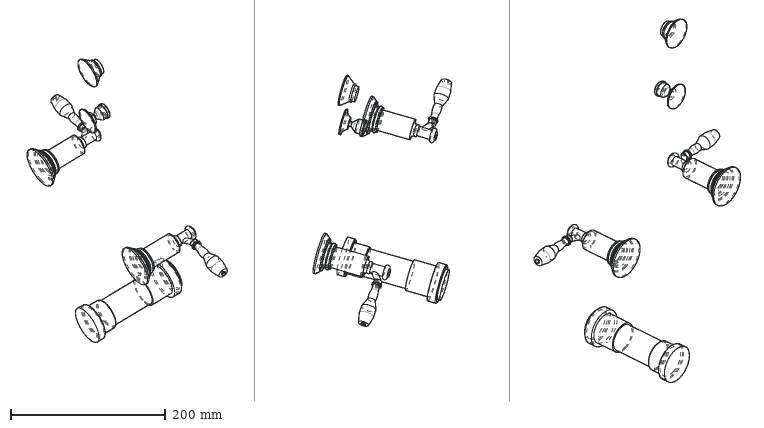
import cadquery as cq


valve_spacing = 203.0
spout_z = -229.0
knob_z = 202.5
escutcheon_z = 304.0

spout_height = 138.5
base_flange_radius = 25.5
top_flange_radius = 26.0
spout_collar_radius = 21.0
spout_shaft_radius = 18.5
base_flange_height = 11.0
base_collar_top = 32.0
top_collar_bottom = 91.5
top_flange_bottom = 123.0
top_flange_top = 135.0
spout_chamfer = 1.0

plate_radius = 27.0
plate_edge_height = 2.5
plate_shoulder_radius = 22.5
plate_shoulder_height = 7.5
plate_top_radius = 21.5
plate_top = 9.0
foot_radius = 17.0
foot_top = 13.0
ring_root_radius = 16.0
ring_radius = 18.0
ring_bottom = 14.0
ring_top = 17.5
collar_top = 19.0
column_radius = 14.0
column_top = 63.0
shoulder_radius = 11.5
shoulder_top = 66.5
neck_root_radius = 7.0
neck_radius = 8.0
neck_top = 70.5
stem_radius = 6.5
cap_radius = 10.0
cap_bottom = 88.0
cap_top = 94.0
button_radius = 5.0
button_top = 95.5

lever_height = 84.5
lever_span = 363.0
lever_reach = (lever_span - valve_spacing) / 2
socket_start = 14.5
socket_radius = 5.0
lever_ring_start = 19.5
lever_ring_end = 22.0
lever_ring_radius = 6.5
lever_neck_radius = 4.5
barrel_start = 29.0
barrel_radius = 6.0
grip_start = 43.0
grip_start_radius = 5.0
grip_swell = 55.0
grip_swell_radius = 10.0
grip_crown = 65.5
grip_end = 78.0
grip_end_radius = 7.0
tip_radius = 3.0
arm_radius = 3.75
arm_root_height = 73.0

knob_foot_radius = 17.5
knob_rim_height = 2.0
knob_foot_waist_radius = 11.0
knob_foot_waist_height = 4.5
knob_foot_top_radius = 8.0
knob_foot_top = 8.5
knob_neck_root_radius = 4.0
knob_neck_radius = 3.0
knob_neck_height = 12.0
bulb_waist_radius = 6.5
bulb_waist_height = 16.0
bulb_radius = 9.0
bulb_bottom = 19.5
bulb_top = 26.0
knob_head_radius = 10.5
knob_head_top = 30.0
knob_head_chamfer = 1.0
knob_tip_radius = 4.0
knob_tip_top = 32.0

escutcheon_radius = 20.0
escutcheon_rim = 2.0
cone_top_radius = 12.0
cone_top = 12.0
band_top = 14.5
crown_radius = 10.5
crown_top = 19.0


def turn_about_y(outline, x, z):
    """Revolve a half outline, drawn as radius against height, about an axis along Y."""
    turned = outline.close().revolve(360, (0, 0, 0), (0, 1, 0))
    return turned.translate((x, 0, z))


def make_spout():
    outline = (
        cq.Workplane("XY")
        .lineTo(base_flange_radius, 0)
        .lineTo(base_flange_radius, base_flange_height - spout_chamfer)
        .lineTo(base_flange_radius - spout_chamfer, base_flange_height)
        .lineTo(spout_collar_radius, base_flange_height)
        .lineTo(spout_collar_radius, base_collar_top - spout_chamfer)
        .lineTo(spout_collar_radius - spout_chamfer, base_collar_top)
        .lineTo(spout_shaft_radius, base_collar_top)
        .lineTo(spout_shaft_radius, top_collar_bottom)
        .lineTo(spout_collar_radius, top_collar_bottom)
        .lineTo(spout_collar_radius, top_flange_bottom)
        .lineTo(top_flange_radius, top_flange_bottom)
        .lineTo(top_flange_radius, top_flange_top - spout_chamfer)
        .lineTo(top_flange_radius - spout_chamfer, top_flange_top)
        .lineTo(spout_collar_radius, top_flange_top)
        .lineTo(spout_collar_radius, spout_height)
        .lineTo(0, spout_height)
    )
    return turn_about_y(outline, 0, spout_z)


def make_valve_column():
    outline = (
        cq.Workplane("XY")
        .lineTo(plate_radius, 0)
        .lineTo(plate_radius, plate_edge_height)
        .lineTo(plate_shoulder_radius, plate_shoulder_height)
        .lineTo(plate_top_radius, plate_shoulder_height)
        .lineTo(plate_top_radius, plate_top)
        .lineTo(foot_radius, plate_top)
        .lineTo(foot_radius, foot_top)
        .lineTo(ring_root_radius, ring_bottom)
        .threePointArc((ring_radius, (ring_bottom + ring_top) / 2), (ring_root_radius, ring_top))
        .lineTo(foot_radius, ring_top)
        .lineTo(foot_radius, collar_top)
        .lineTo(column_radius, collar_top)
        .lineTo(column_radius, column_top)
        .lineTo(shoulder_radius, column_top)
        .lineTo(neck_root_radius, shoulder_top)
        .threePointArc((neck_radius, (shoulder_top + neck_top) / 2), (neck_root_radius, neck_top))
        .lineTo(stem_radius, neck_top)
        .lineTo(stem_radius, cap_bottom)
        .threePointArc((cap_radius, (cap_bottom + cap_top) / 2), (stem_radius, cap_top))
        .lineTo(button_radius, button_top)
        .lineTo(0, button_top)
    )
    return turn_about_y(outline, 0, 0)


def make_lever():
    """Turned grip along +X, joined to the stem by a slanting arm."""
    grip = (
        cq.Workplane("XY")
        .moveTo(socket_start, 0)
        .lineTo(socket_start, socket_radius)
        .lineTo(lever_ring_start, socket_radius)
        .lineTo(lever_ring_start, lever_ring_radius)
        .lineTo(lever_ring_end, lever_ring_radius)
        .lineTo(lever_ring_end, lever_neck_radius)
        .lineTo(barrel_start, lever_neck_radius)
        .threePointArc(((barrel_start + grip_start) / 2, barrel_radius), (grip_start, grip_start_radius))
        .lineTo(grip_swell, grip_swell_radius)
        .lineTo(grip_crown, grip_swell_radius)
        .lineTo(grip_end, grip_end_radius)
        .lineTo(grip_end, tip_radius)
        .lineTo(lever_reach, tip_radius)
        .lineTo(lever_reach, 0)
        .close()
        .revolve(360, (0, 0, 0), (1, 0, 0))
        .translate((0, lever_height, 0))
    )
    arm_root = cq.Vector(0, arm_root_height, 0)
    arm_end = cq.Vector(socket_start, lever_height, 0)
    slant = arm_end - arm_root
    arm = cq.Workplane(cq.Solid.makeCylinder(arm_radius, slant.Length, arm_root, slant))
    return grip.union(arm)


def make_valve(side):
    """Column with its lever pointing outward; side is +1 or -1 along X."""
    valve = make_valve_column().union(make_lever())
    if side < 0:
        valve = valve.mirror("YZ")
    return valve.translate((side * valve_spacing / 2, 0, 0))


def make_knob():
    outline = (
        cq.Workplane("XY")
        .lineTo(knob_foot_radius, 0)
        .lineTo(knob_foot_radius, knob_rim_height)
        .threePointArc((knob_foot_waist_radius, knob_foot_waist_height), (knob_foot_top_radius, knob_foot_top))
        .lineTo(knob_neck_root_radius, knob_foot_top)
        .lineTo(knob_neck_radius, knob_neck_height)
        .lineTo(bulb_waist_radius, bulb_waist_height)
        .lineTo(bulb_radius, bulb_bottom)
        .lineTo(bulb_radius, bulb_top)
        .lineTo(knob_head_radius, bulb_top)
        .lineTo(knob_head_radius, knob_head_top - knob_head_chamfer)
        .lineTo(knob_head_radius - knob_head_chamfer, knob_head_top)
        .lineTo(knob_tip_radius, knob_tip_top)
        .lineTo(0, knob_tip_top)
    )
    return turn_about_y(outline, 0, knob_z)


def make_escutcheon():
    outline = (
        cq.Workplane("XY")
        .lineTo(escutcheon_radius, 0)
        .lineTo(escutcheon_radius, escutcheon_rim)
        .lineTo(cone_top_radius, cone_top)
        .lineTo(cone_top_radius, band_top)
        .lineTo(crown_radius, band_top)
        .lineTo(crown_radius, crown_top)
        .lineTo(0, crown_top)
    )
    return turn_about_y(outline, 0, escutcheon_z)


spout = make_spout()
valves = [make_valve(side) for side in (-1, 1)]
knob = make_knob()
escutcheon = make_escutcheon()

result = cq.Compound.makeCompound(
    [spout.val(), *[valve.val() for valve in valves], knob.val(), escutcheon.val()]
)